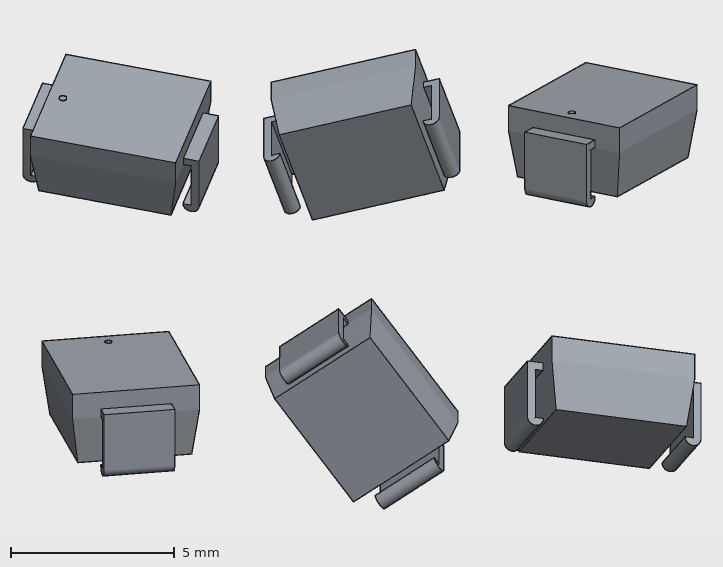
import cadquery as cq

LENGTH = 5.59
HEIGHT = 2.64

HOUSING_LENGTH = 4.6
HOUSING_WIDTH = 3.96
UPPER_HEIGHT = 0.815
HOUSING_BOTTOM = 0.31
TAPER_INSET = 0.2
PARTING_Z = HEIGHT - UPPER_HEIGHT

LEAD_WIDTH = 2.2
LEAD_THICKNESS = 0.25
LEAD_TOP = 2.09
FOOT_RADIUS = 0.255

MARK_DIAMETER = 0.23
MARK_DEPTH = 0.03
MARK_X = -1.835


def make_mark():
    """Round polarity mark near the -X end of the housing top."""
    return (
        cq.Workplane("XY", origin=(MARK_X, 0, HEIGHT - MARK_DEPTH))
        .circle(MARK_DIAMETER / 2)
        .extrude(MARK_DEPTH)
    )


def make_housing(mark):
    """Housing with a recess that holds the polarity mark."""
    upper = (
        cq.Workplane("XY", origin=(0, 0, PARTING_Z))
        .rect(HOUSING_LENGTH, HOUSING_WIDTH)
        .extrude(UPPER_HEIGHT)
    )
    lower = (
        cq.Workplane("XY", origin=(0, 0, HOUSING_BOTTOM))
        .rect(HOUSING_LENGTH - 2 * TAPER_INSET, HOUSING_WIDTH - 2 * TAPER_INSET)
        .workplane(offset=PARTING_Z - HOUSING_BOTTOM)
        .rect(HOUSING_LENGTH, HOUSING_WIDTH)
        .loft(ruled=True)
    )
    return upper.union(lower).cut(mark)


def make_lead(side):
    """Bent lead with a half-round foot; side is -1 for the -X end, 1 for the +X end."""
    outer = side * LENGTH / 2
    leg_inner = outer - side * LEAD_THICKNESS
    housing_face = side * HOUSING_LENGTH / 2
    foot_center = outer - side * FOOT_RADIUS
    foot_inner = outer - side * 2 * FOOT_RADIUS
    side_plane = cq.Workplane("XZ", origin=(0, LEAD_WIDTH / 2, 0))
    strip = (
        side_plane.moveTo(housing_face, LEAD_TOP)
        .lineTo(outer, LEAD_TOP)
        .lineTo(outer, FOOT_RADIUS)
        .lineTo(leg_inner, FOOT_RADIUS)
        .lineTo(leg_inner, LEAD_TOP - LEAD_THICKNESS)
        .lineTo(housing_face, LEAD_TOP - LEAD_THICKNESS)
        .close()
        .extrude(LEAD_WIDTH)
    )
    foot = (
        side_plane.moveTo(outer, FOOT_RADIUS)
        .threePointArc((foot_center, 0), (foot_inner, FOOT_RADIUS))
        .close()
        .extrude(LEAD_WIDTH)
    )
    return strip.union(foot, clean=False)


mark = make_mark()
housing = make_housing(mark)
leads = [make_lead(side) for side in (-1, 1)]

result = cq.Compound.makeCompound([body.solids().val() for body in (housing, mark, *leads)])